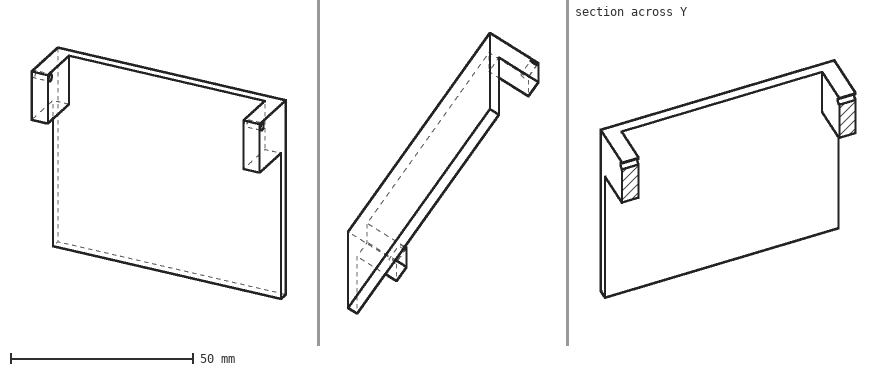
import cadquery as cq

width = 70.0
height = 60.0
plate_thickness = 3.0

overall_depth = 16.0
lug_width = 5.0
lug_height = 15.0

hole_diameter = 2.0
hole_edge_distance = 1.5

plate_front = overall_depth - plate_thickness


def make_plate():
    return cq.Workplane("XY").box(width, plate_thickness, height, centered=False).translate((0, plate_front, 0))


def make_lug(left):
    lug = cq.Workplane("XY").box(lug_width, overall_depth, lug_height, centered=False)
    return lug.translate((left, 0, height - lug_height))


def make_hole_cutter():
    return (
        cq.Workplane("YZ")
        .center(hole_edge_distance, height - hole_edge_distance)
        .circle(hole_diameter / 2)
        .extrude(width)
    )


result = make_plate()
for lug_left in (0, width - lug_width):
    result = result.union(make_lug(lug_left))
result = result.cut(make_hole_cutter())